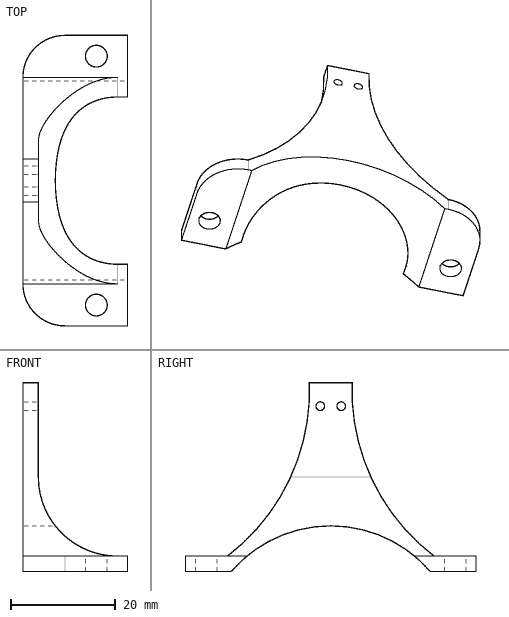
import cadquery as cq
import math

depth = 20.0
length = 55.4
height = 36.0
thickness = 3.0

corner_radius = 8.05
fillet_radius = 15.0
web_top_half_width = 4.1
web_waist_half_width = 7.65
web_waist_height = 18.05
arch_radius = 25.05
arch_height = 8.7

foot_hole_diameter = 4.1
foot_hole_x = 14.0
foot_hole_y = 23.7
web_hole_diameter = 1.6
web_hole_y = 2.0
web_hole_z = 31.5

half_length = length / 2
web_base_half_width = half_length - corner_radius
fillet_end_x = thickness + fillet_radius
fillet_end_z = thickness + fillet_radius


def make_base():
    """Flat base plate with its two back corners rounded."""
    plate = cq.Workplane("XY").box(depth, length, thickness, centered=(False, True, False))
    return plate.edges("|Z and <X").fillet(corner_radius)


def make_web():
    """Upright with concave flanks, thickened toward its foot by a large fillet."""
    flanks = (
        cq.Workplane("YZ")
        .moveTo(-web_base_half_width, 0)
        .lineTo(web_base_half_width, 0)
        .lineTo(web_base_half_width, thickness)
        .threePointArc((web_waist_half_width, web_waist_height), (web_top_half_width, height))
        .lineTo(-web_top_half_width, height)
        .threePointArc((-web_waist_half_width, web_waist_height), (-web_base_half_width, thickness))
        .close()
        .extrude(depth)
    )
    arc_offset = fillet_radius * math.sqrt(0.5)
    side_profile = (
        cq.Workplane("XZ")
        .lineTo(fillet_end_x, 0)
        .lineTo(fillet_end_x, thickness)
        .threePointArc(
            (fillet_end_x - arc_offset, fillet_end_z - arc_offset),
            (thickness, fillet_end_z),
        )
        .lineTo(thickness, height)
        .lineTo(0, height)
        .close()
        .extrude(half_length, both=True)
    )
    return flanks.intersect(side_profile)


def make_arch():
    """Cylinder along X that opens the arch under the web and between the feet."""
    return (
        cq.Workplane("YZ")
        .center(0, arch_height - arch_radius)
        .circle(arch_radius)
        .extrude(depth)
    )


def make_foot_holes():
    return (
        cq.Workplane("XY")
        .pushPoints([(foot_hole_x, side * foot_hole_y) for side in (-1, 1)])
        .circle(foot_hole_diameter / 2)
        .extrude(thickness)
    )


def make_web_holes():
    return (
        cq.Workplane("YZ")
        .pushPoints([(side * web_hole_y, web_hole_z) for side in (-1, 1)])
        .circle(web_hole_diameter / 2)
        .extrude(thickness)
    )


bracket = make_base().union(make_web())
result = bracket.cut(make_arch()).cut(make_foot_holes()).cut(make_web_holes())